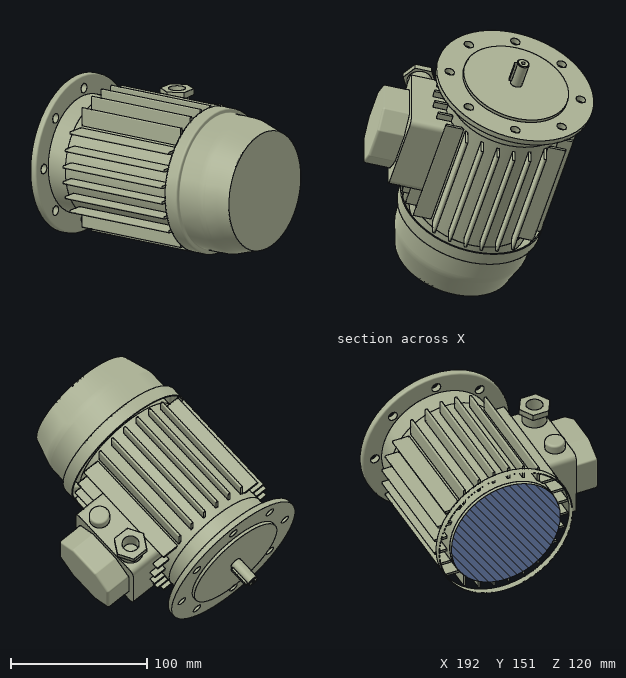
import cadquery as cq
import math


spigot_x = 20.0
flange_x = 22.5
flange_back_x = 27.5
stator_x = 43.0
fins_x = 48.0
fins_end_x = 137.9
stator_end_x = 143.0
rear_boss_end_x = 153.6
cover_x = 141.0
shoulder_x = 151.7
taper_x = 168.5
motor_length = 192.0
motor_width = 151.0

shaft_diameter = 9.0
shaft_chamfer = 0.5
center_hole_diameter = 1.2
center_hole_depth = 3.8
center_sink_diameter = 2.7
center_sink_angle = 60.0
key_width = 3.0
key_x = 1.3
key_end_x = 18.5
key_top_y = 6.0
key_seat_y = 2.3
spigot_diameter = 80.0
flange_diameter = 120.0
flange_fillet = 1.5
bolt_count = 8
bolt_circle_diameter = 100.0
bolt_hole_diameter = 7.1

body_diameter = 89.3
rear_boss_diameter = 89.0
fin_tip_radius = 54.7
fin_thickness = 2.0
fin_pitch = 12.0
fins_per_side = 6
fin_sides = 4
fin_embed = 2.0
fin_root_radius = body_diameter / 2 - fin_embed

box_center_x = 85.6
box_root_y = 28.8
box_length = 65.0
box_height = 55.9
box_face_y = 70.7
box_corner_radius = 5.4
lid_length = 55.1
lid_height = 45.1
lid_flat_length = 25.3
lid_flat_height = 26.9
lid_face_y = motor_width - flange_diameter / 2
lid_fillet = 2.0

entry_y = 60.5
gland_x = 68.0
gland_across_flats = 21.9
gland_head_z = 37.8
gland_top_z = 42.6
gland_neck_diameter = 18.5
gland_bore_diameter = 12.5
plug_x = 103.0
plug_diameter = 15.2
plug_top_z = 35.1
plug_fillet = 2.0

cover_wall = 1.0
rim_radius = 54.7
barrel_radius = 51.0
rim_fillet = 1.3
shoulder_fillet = 0.5
taper_angle = math.radians(16.5)
taper_bend_radius = 18.8


def cylinder(start_x, end_x, diameter):
    """Cylinder on the motor axis."""
    return cq.Workplane("YZ", origin=(start_x, 0, 0)).circle(diameter / 2).extrude(end_x - start_x)


def upright_cylinder(x, y, bottom_z, top_z, diameter):
    """Cylinder along Z."""
    return cq.Workplane("XY", origin=(x, y, bottom_z)).circle(diameter / 2).extrude(top_z - bottom_z)


def make_shaft():
    """Shaft stub with a centre hole in its tip and a round-ended key on its +Y side."""
    shaft = cylinder(0, spigot_x, shaft_diameter).faces("<X").chamfer(shaft_chamfer)
    shaft = shaft.faces("<X").workplane().cskHole(
        center_hole_diameter, center_sink_diameter, center_sink_angle, center_hole_depth
    )
    key = (
        cq.Workplane("XZ", origin=((key_x + key_end_x) / 2, key_seat_y, 0))
        .slot2D(key_end_x - key_x, key_width)
        .extrude(key_seat_y - key_top_y)
    )
    return shaft.union(key)


def make_flange():
    """Mounting flange with a ring of through holes."""
    flange = cylinder(flange_x, flange_back_x, flange_diameter).faces(">X").edges().fillet(flange_fillet)
    bolt_holes = (
        cq.Workplane("YZ", origin=(flange_x, 0, 0))
        .polarArray(bolt_circle_diameter / 2, 0, 360, bolt_count)
        .circle(bolt_hole_diameter / 2)
        .extrude(flange_back_x - flange_x)
    )
    return flange.cut(bolt_holes)


def make_front_shield():
    spigot = cylinder(spigot_x, flange_x, spigot_diameter)
    barrel = cylinder(flange_back_x, stator_x, body_diameter)
    return make_flange().union(spigot).union(barrel).union(make_shaft())


def make_fin(offset):
    """Fin on the +Z side with a full-round tip, at the given offset from the motor axis."""
    root_z = math.sqrt(fin_root_radius**2 - offset**2)
    shoulder_z = math.sqrt(fin_tip_radius**2 - offset**2) - fin_thickness / 2
    return (
        cq.Workplane("YZ", origin=(fins_x, 0, 0))
        .moveTo(offset - fin_thickness / 2, root_z)
        .lineTo(offset - fin_thickness / 2, shoulder_z)
        .threePointArc((offset, shoulder_z + fin_thickness / 2), (offset + fin_thickness / 2, shoulder_z))
        .lineTo(offset + fin_thickness / 2, root_z)
        .close()
        .extrude(fins_end_x - fins_x)
    )


def add_fins(core):
    """Parallel fins on all four sides of the core."""
    for side in range(fin_sides):
        for index in range(fins_per_side):
            offset = (index - (fins_per_side - 1) / 2) * fin_pitch
            core = core.union(make_fin(offset).rotate((0, 0, 0), (1, 0, 0), side * 360 / fin_sides))
    return core


def box_plane(y):
    """Sketch plane facing +Y, centred on the terminal box."""
    return cq.Workplane("XZ", origin=(box_center_x, y, 0))


def make_box_base():
    """Rounded block rooted in the stator core."""
    base = box_plane(box_root_y).rect(box_length, box_height).extrude(box_root_y - box_face_y)
    return base.edges("|Y").fillet(box_corner_radius)


def make_lid():
    """Eight-sided lid with rounded corners and a rounded outer face."""
    outline = [
        (lid_flat_length / 2, lid_height / 2),
        (lid_length / 2, lid_flat_height / 2),
        (lid_length / 2, -lid_flat_height / 2),
        (lid_flat_length / 2, -lid_height / 2),
        (-lid_flat_length / 2, -lid_height / 2),
        (-lid_length / 2, -lid_flat_height / 2),
        (-lid_length / 2, lid_flat_height / 2),
        (-lid_flat_length / 2, lid_height / 2),
    ]
    lid = box_plane(box_face_y).polyline(outline).close().extrude(box_face_y - lid_face_y)
    return lid.edges("|Y").fillet(lid_fillet).faces(">Y").edges().fillet(lid_fillet)


def make_gland():
    """Hexagon-headed cable gland, bored down to the box wall."""
    wall_z = box_height / 2
    across_corners = gland_across_flats / math.cos(math.pi / 6)
    head = (
        cq.Workplane("XY", origin=(gland_x, entry_y, gland_head_z))
        .transformed(rotate=(0, 0, 90))
        .polygon(6, across_corners)
        .extrude(gland_top_z - gland_head_z)
    )
    neck = upright_cylinder(gland_x, entry_y, wall_z, gland_head_z, gland_neck_diameter)
    bore = upright_cylinder(gland_x, entry_y, wall_z, gland_top_z, gland_bore_diameter)
    return head.union(neck).cut(bore)


def make_plug():
    plug = upright_cylinder(plug_x, entry_y, box_height / 2, plug_top_z, plug_diameter)
    return plug.faces(">Z").edges().fillet(plug_fillet)


def make_stator():
    core = cylinder(stator_x, stator_end_x, body_diameter)
    rear_boss = cylinder(stator_end_x, rear_boss_end_x, rear_boss_diameter)
    stator = add_fins(core.union(rear_boss))
    return stator.union(make_box_base()).union(make_lid()).union(make_gland()).union(make_plug())


def cover_envelope(inset):
    """Solid of revolution bounded by the cover's outer surface moved inward by the inset."""
    rim = rim_radius - inset
    barrel = barrel_radius - inset
    step_x = shoulder_x - inset
    back_x = motor_length - inset
    rim_round = rim_fillet - inset
    inner_round = shoulder_fillet + inset
    bend = taper_bend_radius - inset
    arc_mid_gap = 1 - math.sqrt(0.5)
    bend_center = barrel - bend
    bend_end_x = taper_x + bend * math.sin(taper_angle)
    bend_end_r = bend_center + bend * math.cos(taper_angle)
    bend_mid_x = taper_x + bend * math.sin(taper_angle / 2)
    bend_mid_r = bend_center + bend * math.cos(taper_angle / 2)
    back_r = bend_end_r - (back_x - bend_end_x) * math.tan(taper_angle)
    profile = (
        cq.Workplane("XZ")
        .moveTo(cover_x, 0)
        .lineTo(cover_x, rim)
        .lineTo(step_x - rim_round, rim)
        .threePointArc(
            (step_x - rim_round * arc_mid_gap, rim - rim_round * arc_mid_gap),
            (step_x, rim - rim_round),
        )
        .lineTo(step_x, barrel + inner_round)
        .threePointArc(
            (step_x + inner_round * arc_mid_gap, barrel + inner_round * arc_mid_gap),
            (step_x + inner_round, barrel),
        )
        .lineTo(taper_x, barrel)
        .threePointArc((bend_mid_x, bend_mid_r), (bend_end_x, bend_end_r))
        .lineTo(back_x, back_r)
        .lineTo(back_x, 0)
        .close()
    )
    return profile.revolve(360, (0, 0, 0), (1, 0, 0))


def make_fan_cover():
    """Thin shell, open at its rim."""
    return cover_envelope(0).cut(cover_envelope(cover_wall))


front_shield = make_front_shield()
stator = make_stator()
fan_cover = make_fan_cover()

result = cq.Compound.makeCompound([front_shield.val(), stator.val(), fan_cover.val()])